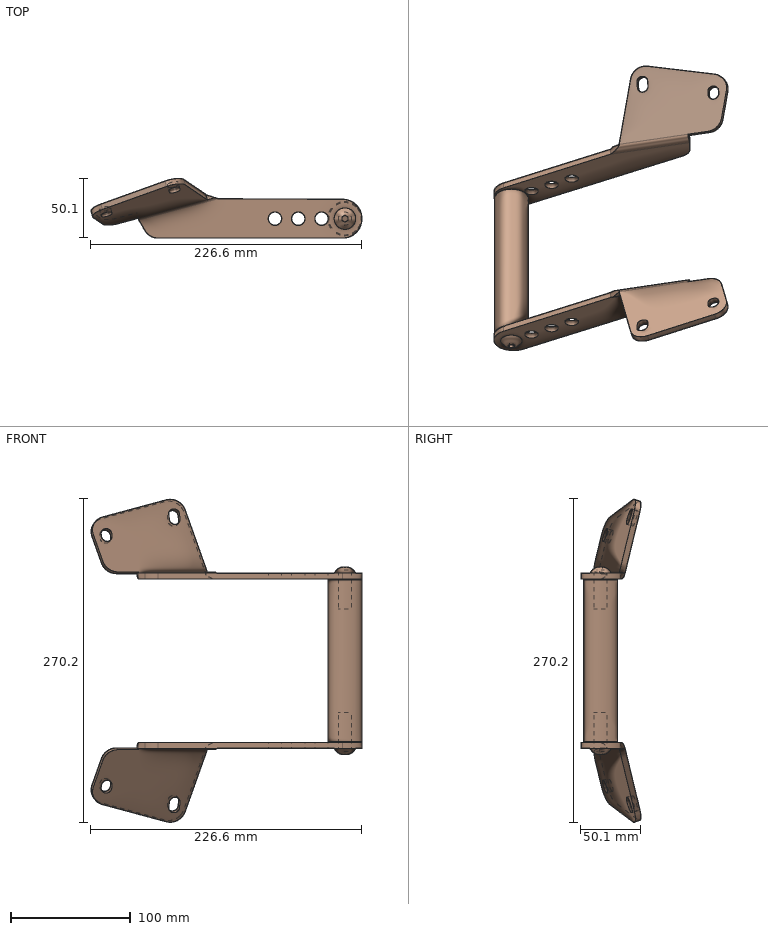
import cadquery as cq
import math

SHEET = 5.0

ARM_OUTER_Z = 73.3
ARM_HALF_WIDTH = 16.35
ARM_END_X = 14.3
ARM_END_CENTER_X = ARM_END_X - ARM_HALF_WIDTH
ARM_BACK_RISE = 0.4
ARM_TAIL_X = -163.6
ARM_TAIL_ANGLE = 120.0
ARM_TAIL_FILLET = 12.7
HOLE_DIAMETER = 11.0
HOLE_PITCH = 19.5
SPARE_HOLES = 3

BEND_DIRECTION = 15.0
BEND_ANGLE = 72.0
BEND_INNER_RADIUS = 1.5
BEND_LINE_X = -174.0
BEND_LINE_Y = -0.35
BEND_END_DIRECTION = 162.0

FLANGE_SKEW = 15.0
FLANGE_WIDTH = 84.2
FLANGE_LONG_SIDE = 69.1
FLANGE_FOOT_X = 61.1
FLANGE_FILLET = 12.7
SLOT_WIDTH = 9.2
SLOT_SIDE_INSET = 11.0
SLOT_TOP_INSET = 15.8
LONG_SLOT_LENGTH = 13.6
SHORT_SLOT_LENGTH = 11.2
SLOT_ANGLE = 90.0

ROLLER_DIAMETER = 2 * ARM_END_X
ROLLER_CHAMFER = 0.8

HEAD_DIAMETER = 18.0
HEAD_HEIGHT = 5.5
SOCKET_ACROSS_FLATS = 5.0
SOCKET_DEPTH = 3.0
THREAD_DEPTH = 25.0

ARM_INNER_Z = ARM_OUTER_Z - SHEET
BEND_SETBACK = BEND_INNER_RADIUS * math.tan(math.radians(BEND_ANGLE / 2))
ROLLER_HALF_LENGTH = ARM_INNER_Z


def polar(length, degrees):
    """Plane vector of the given length and direction."""
    angle = math.radians(degrees)
    return cq.Vector(length * math.cos(angle), length * math.sin(angle))


BEND_ORIGIN = cq.Vector(BEND_LINE_X, BEND_LINE_Y, ARM_OUTER_Z)
BEND_AXIS = polar(1.0, BEND_DIRECTION)
BEND_OUTWARD = polar(1.0, BEND_DIRECTION + 90)
FLANGE_SLOPE = polar(1.0, BEND_ANGLE)
FLANGE_UP = BEND_OUTWARD * FLANGE_SLOPE.x + cq.Vector(0, 0, FLANGE_SLOPE.y)


def line_crossing(point_1, direction_1, point_2, direction_2):
    """Where two lines in plan cross, each given by a point and a direction."""
    normal_2 = cq.Vector(-direction_2.y, direction_2.x)
    travel = (point_2 - point_1).dot(normal_2) / direction_1.dot(normal_2)
    return point_1 + direction_1 * travel


BEND_START = cq.Vector(BEND_LINE_X, BEND_LINE_Y) - BEND_OUTWARD * BEND_SETBACK
TAIL_CORNER = cq.Vector(ARM_TAIL_X, -ARM_HALF_WIDTH)
TAIL_BEND_CORNER = line_crossing(BEND_START, BEND_AXIS, TAIL_CORNER, polar(1.0, ARM_TAIL_ANGLE))
BACK_CORNER = line_crossing(
    BEND_START, BEND_AXIS, cq.Vector(0, ARM_HALF_WIDTH + ARM_BACK_RISE), cq.Vector(1, 0)
)


def arm():
    """Flat plate of the upper bracket, cut off along the start of the bend."""
    plate = (
        cq.Workplane("XY", origin=(0, 0, ARM_INNER_Z))
        .moveTo(TAIL_CORNER.x, TAIL_CORNER.y)
        .lineTo(ARM_END_CENTER_X, -ARM_HALF_WIDTH)
        .threePointArc((ARM_END_X, 0), (ARM_END_CENTER_X, ARM_HALF_WIDTH))
        .lineTo(BACK_CORNER.x, BACK_CORNER.y)
        .lineTo(TAIL_BEND_CORNER.x, TAIL_BEND_CORNER.y)
        .close()
        .extrude(SHEET)
    )
    tail_edge_middle = (TAIL_CORNER.x, TAIL_CORNER.y, ARM_INNER_Z + SHEET / 2)
    plate = plate.edges(cq.NearestToPointSelector(tail_edge_middle)).fillet(ARM_TAIL_FILLET)
    holes = (
        cq.Workplane("XY", origin=(0, 0, ARM_INNER_Z))
        .pushPoints([(-HOLE_PITCH * i, 0) for i in range(SPARE_HOLES + 1)])
        .circle(HOLE_DIAMETER / 2)
        .extrude(SHEET)
    )
    return plate.cut(holes)


def arc_point(radius, turn):
    """Point of the bend section at the given radius after the sheet has turned by `turn` degrees."""
    angle = math.radians(turn)
    return (
        radius * math.sin(angle),
        BEND_INNER_RADIUS - radius * math.cos(angle),
    )


def bend():
    """Curved strip joining the arm to the flange, trimmed upright at the arm's back corner."""
    half_turn = BEND_ANGLE / 2
    outer_radius = BEND_INNER_RADIUS + SHEET
    length = (BACK_CORNER - TAIL_BEND_CORNER).Length
    start = cq.Vector(TAIL_BEND_CORNER.x, TAIL_BEND_CORNER.y, ARM_OUTER_Z)
    section = cq.Plane(start, xDir=BEND_OUTWARD, normal=BEND_AXIS)
    strip = (
        cq.Workplane(section)
        .moveTo(0, -SHEET)
        .lineTo(0, 0)
        .threePointArc(arc_point(BEND_INNER_RADIUS, half_turn), arc_point(BEND_INNER_RADIUS, BEND_ANGLE))
        .lineTo(*arc_point(outer_radius, BEND_ANGLE))
        .threePointArc(arc_point(outer_radius, half_turn), (0, -SHEET))
        .close()
        .extrude(length)
    )
    trim_size = 4 * SHEET
    trim_plane = cq.Plane(BACK_CORNER, xDir=polar(1.0, BEND_END_DIRECTION), normal=(0, 0, 1))
    trim = (
        cq.Workplane(trim_plane)
        .rect(2 * trim_size, -trim_size, centered=False)
        .extrude(2 * ARM_OUTER_Z)
    )
    return strip.cut(trim)


def flange():
    """Slotted mounting flange, drawn on its front face and thickened backwards."""
    face = cq.Plane(BEND_ORIGIN, xDir=BEND_AXIS, normal=BEND_AXIS.cross(FLANGE_UP))
    across = polar(1.0, FLANGE_SKEW)
    up = polar(1.0, FLANGE_SKEW + 90)
    long_foot = cq.Vector(FLANGE_FOOT_X, BEND_SETBACK)
    long_top = long_foot + up * FLANGE_LONG_SIDE
    short_top = long_top - across * FLANGE_WIDTH
    short_side = (short_top.y - BEND_SETBACK) / up.y
    short_foot = short_top - up * short_side

    corners = [long_foot, long_top, short_top, short_foot]
    plate = cq.Workplane(face).polyline([(p.x, p.y) for p in corners]).close().extrude(-SHEET)
    for corner in (long_top, short_top, short_foot):
        edge_middle = face.toWorldCoords((corner.x, corner.y, -SHEET / 2))
        plate = plate.edges(cq.NearestToPointSelector(edge_middle.toTuple())).fillet(FLANGE_FILLET)

    long_slot = long_top - across * SLOT_SIDE_INSET - up * SLOT_TOP_INSET
    short_slot = short_top + across * SLOT_SIDE_INSET - up * SLOT_TOP_INSET
    for middle, length in ((long_slot, LONG_SLOT_LENGTH), (short_slot, SHORT_SLOT_LENGTH)):
        slot = (
            cq.Workplane(face)
            .center(middle.x, middle.y)
            .slot2D(length, SLOT_WIDTH, SLOT_ANGLE)
            .extrude(-SHEET)
        )
        plate = plate.cut(slot)
    return plate


def bracket():
    """Upper bracket: arm, bend and flange as one bent sheet."""
    return arm().union(bend()).union(flange())


def screw():
    """Upper screw: domed head on the arm, shank through the arm into the roller."""
    shank_length = SHEET + THREAD_DEPTH
    dome_radius = ((HEAD_DIAMETER / 2) ** 2 + HEAD_HEIGHT**2) / (2 * HEAD_HEIGHT)
    head = (
        cq.Workplane("XY", origin=(0, 0, ARM_OUTER_Z + HEAD_HEIGHT - dome_radius))
        .sphere(dome_radius)
        .intersect(
            cq.Workplane("XY", origin=(0, 0, ARM_OUTER_Z)).circle(HEAD_DIAMETER).extrude(HEAD_HEIGHT)
        )
    )
    shank = (
        cq.Workplane("XY", origin=(0, 0, ARM_OUTER_Z))
        .circle(HOLE_DIAMETER / 2)
        .extrude(-shank_length)
    )
    socket = (
        cq.Workplane("XY", origin=(0, 0, ARM_OUTER_Z + HEAD_HEIGHT))
        .polygon(6, SOCKET_ACROSS_FLATS, circumscribed=True)
        .extrude(-SOCKET_DEPTH)
    )
    return head.union(shank).cut(socket)


def roller():
    """Solid roller with a blind screw hole in each end."""
    body = (
        cq.Workplane("XY", origin=(0, 0, -ROLLER_HALF_LENGTH))
        .circle(ROLLER_DIAMETER / 2)
        .extrude(2 * ROLLER_HALF_LENGTH)
        .faces("<Z or >Z")
        .chamfer(ROLLER_CHAMFER)
    )
    for side in (1, -1):
        hole = (
            cq.Workplane("XY", origin=(0, 0, side * ROLLER_HALF_LENGTH))
            .circle(HOLE_DIAMETER / 2)
            .extrude(-side * THREAD_DEPTH)
        )
        body = body.cut(hole)
    return body


def with_lower_copy(upper):
    """The upper body's solid and its mirror image below the mid-plane."""
    return [upper.val(), upper.mirror("XY").val()]


result = cq.Compound.makeCompound(
    [roller().val(), *with_lower_copy(bracket()), *with_lower_copy(screw())]
)